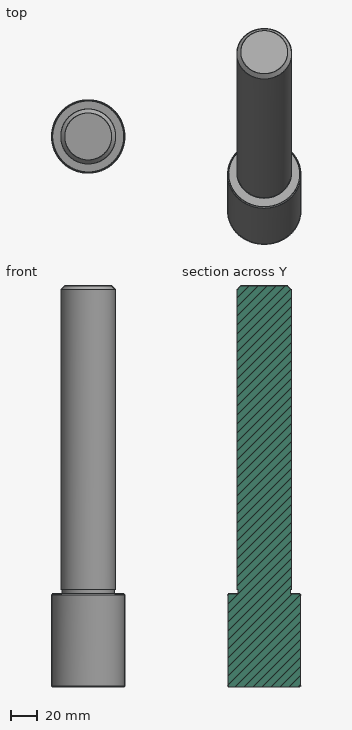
import cadquery as cq

total_length = 300
head_diameter = 55.0
head_length = 70.0
head_chamfer = 1.0
shank_diameter = 41.0
tip_chamfer = 3
groove_width = 3
groove_depth = 1.0

shank_radius = shank_diameter / 2
groove_radius = shank_radius - groove_depth
shank_length = total_length - head_length

head = (
    cq.Workplane("XY")
    .circle(head_diameter / 2)
    .extrude(head_length)
    .edges()
    .chamfer(head_chamfer)
)

shank = (
    cq.Workplane("XY")
    .workplane(offset=head_length)
    .circle(shank_radius)
    .extrude(shank_length)
    .faces(">Z")
    .chamfer(tip_chamfer)
)

groove = (
    cq.Workplane("XY")
    .workplane(offset=head_length)
    .circle(shank_radius)
    .circle(groove_radius)
    .extrude(groove_width)
)

result = head.union(shank.cut(groove))